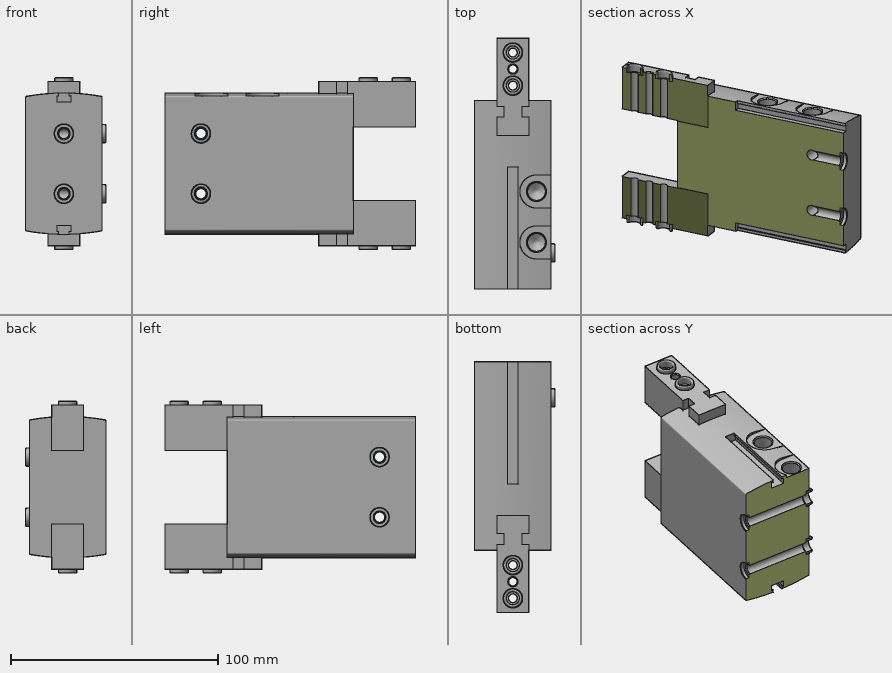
import cadquery as cq

TOTAL_LENGTH = 121.0
HOUSING_WIDTH = 37.0
HOUSING_HEIGHT = 68.2
HOUSING_LENGTH = 91.0
CORNER_HEIGHT = 64.9
CORNER_RADIUS = 0.7

SLOT_LENGTH = 58.9
SLOT_NECK_WIDTH = 5.0
SLOT_WIDTH = 6.7
SLOT_LIP = 1.5
SLOT_DEPTH = 4.4

PORT_X = 11.4
PORT_Y = (22.5, 47.1)
PORT_DIAMETER = 8.6
PORT_MOUTH_DIAMETER = 9.7
PORT_DEPTH = 10.0
PORT_TIP_DEPTH = 2.4
SPOTFACE_RADIUS = 8.0
SPOTFACE_Z = 32.5

MOUNT_Z = 14.5
CROSS_HOLE_Y = 17.4
SCREW_DIAMETER = 5.0
SCREW_MOUTH_DIAMETER = 6.0
SEAT_DIAMETER = 9.0
SEAT_MOUTH_DIAMETER = 9.4
SEAT_DEPTH = 1.9
SLEEVE_BORE = 6.3
SLEEVE_PROTRUSION = 1.8

JAW_WIDTH = 15.5
JAW_NECK_WIDTH = 8.7
JAW_BACK_Y = 74.2
JAW_NECK_Y = (82.9, 88.1)
JAW_INNER_Z = 17.7
JAW_OUTER_Z = 39.7
JAW_HOLE_DIAMETER = 4.1
JAW_PIN_Y = 106.1
JAW_SLEEVE_SPACING = 16.0
PIN_HOLE_DIAMETER = 4.0
PIN_MOUTH_DIAMETER = 5.0

HALF_WIDTH = HOUSING_WIDTH / 2
HALF_HEIGHT = HOUSING_HEIGHT / 2
DOWN = (0, 0, -1)
JAW_SLEEVE_Y = (JAW_PIN_Y - JAW_SLEEVE_SPACING / 2, JAW_PIN_Y + JAW_SLEEVE_SPACING / 2)


def cylinder(diameter, length, start, direction):
    return cq.Workplane(cq.Solid.makeCylinder(diameter / 2, length, cq.Vector(*start), cq.Vector(*direction)))


def cone(start_diameter, end_diameter, length, start, direction):
    start_radius, end_radius = start_diameter / 2, end_diameter / 2
    return cq.Workplane(
        cq.Solid.makeCone(start_radius, end_radius, length, cq.Vector(*start), cq.Vector(*direction))
    )


def mirrored_pair(body):
    """The body above the XY plane followed by its mirror image below it."""
    return [body, body.mirror("XY")]


def housing_block():
    corner = CORNER_HEIGHT / 2
    return (
        cq.Workplane("XZ")
        .moveTo(-HALF_WIDTH, -corner)
        .threePointArc((0, -HALF_HEIGHT), (HALF_WIDTH, -corner))
        .lineTo(HALF_WIDTH, corner)
        .threePointArc((0, HALF_HEIGHT), (-HALF_WIDTH, corner))
        .close()
        .extrude(-HOUSING_LENGTH)
        .edges("|Y")
        .fillet(CORNER_RADIUS)
    )


def t_slot():
    neck = cq.Workplane("XY").box(SLOT_NECK_WIDTH, SLOT_LENGTH, SLOT_DEPTH, centered=(True, False, False))
    undercut = cq.Workplane("XY").box(
        SLOT_WIDTH, SLOT_LENGTH, SLOT_DEPTH - SLOT_LIP, centered=(True, False, False)
    )
    return neck.union(undercut).translate((0, 0, HALF_HEIGHT - SLOT_DEPTH))


def port(y):
    """Spotface open to the +X side, with a drilled hole ending in a cone."""
    spotface_height = HALF_HEIGHT - SPOTFACE_Z
    run_out = HALF_WIDTH - PORT_X
    spotface = cylinder(2 * SPOTFACE_RADIUS, spotface_height, (PORT_X, y, SPOTFACE_Z), (0, 0, 1)).union(
        cq.Workplane("XY")
        .box(run_out, 2 * SPOTFACE_RADIUS, spotface_height, centered=(False, True, False))
        .translate((PORT_X, y, SPOTFACE_Z))
    )
    hole = chamfered_hole(PORT_DIAMETER, PORT_MOUTH_DIAMETER, PORT_DEPTH, (PORT_X, y, SPOTFACE_Z), DOWN)
    tip = cone(PORT_DIAMETER, 0, PORT_TIP_DEPTH, (PORT_X, y, SPOTFACE_Z - PORT_DEPTH), DOWN)
    return spotface.union(hole).union(tip)


def chamfered_hole(diameter, mouth_diameter, depth, start, direction):
    """Round hole with a 45 degree chamfer at its mouth."""
    chamfer = (mouth_diameter - diameter) / 2
    mouth = cone(mouth_diameter, diameter, chamfer, start, direction)
    return cylinder(diameter, depth, start, direction).union(mouth)


def sleeve_seat(start, direction):
    return chamfered_hole(SEAT_DIAMETER, SEAT_MOUTH_DIAMETER, SEAT_DEPTH, start, direction)


def seated_hole(start, direction, depth):
    """Screw hole, chamfered at its mouth, that starts from the floor of a sleeve seat."""
    floor = (cq.Vector(*start) + cq.Vector(*direction) * SEAT_DEPTH).toTuple()
    screw_hole = chamfered_hole(SCREW_DIAMETER, SCREW_MOUTH_DIAMETER, depth - SEAT_DEPTH, floor, direction)
    return sleeve_seat(start, direction).union(screw_hole)


def jaw_blank():
    half, neck = JAW_WIDTH / 2, JAW_NECK_WIDTH / 2
    neck_back, neck_front = JAW_NECK_Y
    return (
        cq.Workplane("XY", origin=(0, 0, JAW_INNER_Z))
        .moveTo(-half, JAW_BACK_Y)
        .lineTo(half, JAW_BACK_Y)
        .lineTo(half, neck_back)
        .lineTo(neck, neck_back)
        .lineTo(neck, neck_front)
        .lineTo(half, neck_front)
        .lineTo(half, TOTAL_LENGTH)
        .lineTo(-half, TOTAL_LENGTH)
        .lineTo(-half, neck_front)
        .lineTo(-neck, neck_front)
        .lineTo(-neck, neck_back)
        .lineTo(-half, neck_back)
        .close()
        .extrude(JAW_OUTER_Z - JAW_INNER_Z)
    )


def make_jaw():
    """Upper jaw with two sleeve seats and a pin hole between them."""
    thickness = JAW_OUTER_Z - JAW_INNER_Z
    jaw = jaw_blank()
    for y in JAW_SLEEVE_Y:
        top = (0, y, JAW_OUTER_Z)
        jaw = jaw.cut(cylinder(JAW_HOLE_DIAMETER, thickness, top, DOWN))
        jaw = jaw.cut(sleeve_seat(top, DOWN))
    pin_top = (0, JAW_PIN_Y, JAW_OUTER_Z)
    return jaw.cut(chamfered_hole(PIN_HOLE_DIAMETER, PIN_MOUTH_DIAMETER, thickness, pin_top, DOWN))


def make_sleeve():
    """Centring sleeve with a fully rounded rim, along Z; Z = 0 is level with the face it stands in."""
    outer, inner = SEAT_DIAMETER / 2, SLEEVE_BORE / 2
    rim_radius = (outer - inner) / 2
    rim_start = SLEEVE_PROTRUSION - rim_radius
    return (
        cq.Workplane("XZ")
        .moveTo(inner, -SEAT_DEPTH)
        .lineTo(outer, -SEAT_DEPTH)
        .lineTo(outer, rim_start)
        .threePointArc((outer - rim_radius, SLEEVE_PROTRUSION), (inner, rim_start))
        .close()
        .revolve(360, (0, 0, 0), (0, 1, 0))
    )


def make_housing():
    housing = housing_block()
    for slot in mirrored_pair(t_slot()):
        housing = housing.cut(slot)
    for y in PORT_Y:
        housing = housing.cut(port(y))
    for z in (-MOUNT_Z, MOUNT_Z):
        housing = housing.cut(seated_hole((0, 0, z), (0, 1, 0), CROSS_HOLE_Y))
        for side in (-1, 1):
            start = (side * HALF_WIDTH, CROSS_HOLE_Y, z)
            housing = housing.cut(seated_hole(start, (-side, 0, 0), HALF_WIDTH))
    for guide in mirrored_pair(jaw_blank()):
        housing = housing.cut(guide)
    return housing


housing = make_housing()
jaws = mirrored_pair(make_jaw())

jaw_sleeves = []
for sleeve_y in JAW_SLEEVE_Y:
    jaw_sleeves += mirrored_pair(make_sleeve().translate((0, sleeve_y, JAW_OUTER_Z)))

side_sleeves = []
for sleeve_z in (-MOUNT_Z, MOUNT_Z):
    turned = make_sleeve().rotate((0, 0, 0), (0, 1, 0), 90)
    side_sleeves.append(turned.translate((HALF_WIDTH, CROSS_HOLE_Y, sleeve_z)))

bodies = [housing, *jaws, *jaw_sleeves, *side_sleeves]
result = cq.Compound.makeCompound([body.val() for body in bodies])